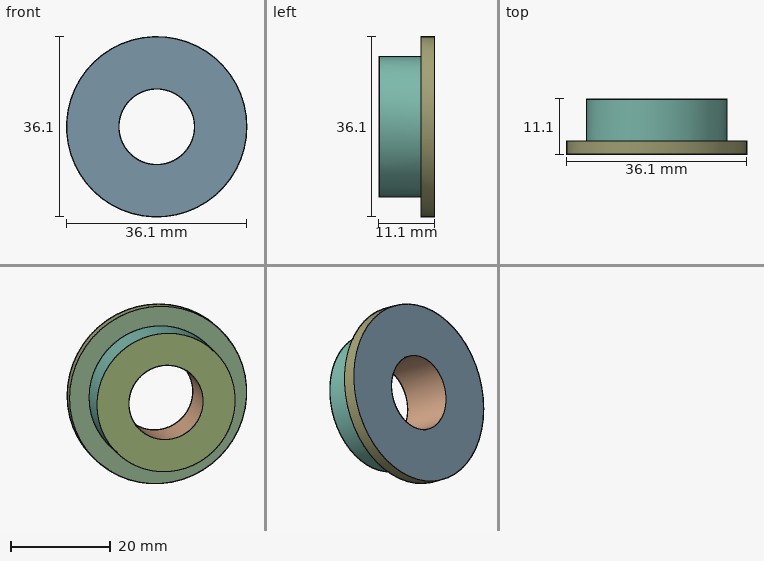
import cadquery as cq

flange_diameter = 36.1
flange_thickness = 2.7
hub_diameter = 28.15
bore_diameter = 15.1
total_length = 11.1


def cylinder_along_y(diameter, length):
    """Solid cylinder starting at Y = 0 and extending toward +Y."""
    return cq.Workplane("XZ").circle(diameter / 2).extrude(-length)


flange = cylinder_along_y(flange_diameter, flange_thickness)
hub = cylinder_along_y(hub_diameter, total_length)
bore = cylinder_along_y(bore_diameter, total_length)

result = flange.union(hub).cut(bore)